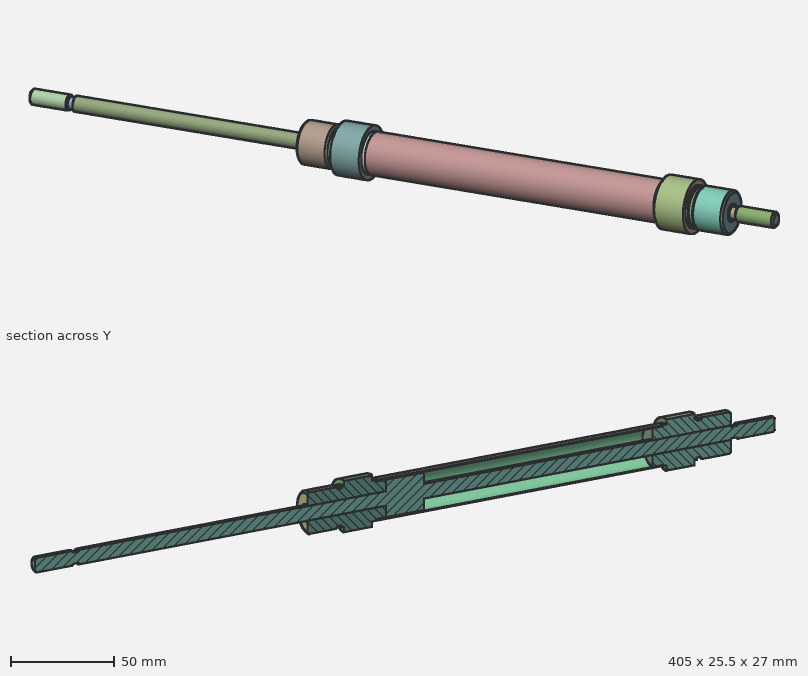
import cadquery as cq

total_length = 405.0
stroke = 125.0

rod_diameter = 8.0
rod_thread_length = 21.0
rod_neck_length = 3.0
rod_neck_diameter = 6.4
rod_tip_chamfer = 1.0
piston_length = 21.0

cap_thread_diameter = 22.0
cap_thread_length = 16.75
cap_thread_chamfer = 1.0
cap_neck_diameter = 19.5
cap_neck_length = 2.0
hub_length = 1.25
collar_diameter = 27.0
collar_length = 15.6
collar_flat_distance = 12.0
lip_length = 1.9
spigot_length = 5.5
bore_mouth_chamfer = 0.5

tube_diameter = 21.5
tube_bore = 20.0

rod_shoulder = rod_thread_length + rod_neck_length
cap_face = rod_shoulder + stroke
cap_thread_end = cap_face + cap_thread_length
hub_start = cap_thread_end + cap_neck_length
collar_start = hub_start + hub_length
collar_end = collar_start + collar_length
tube_start = collar_end + lip_length
spigot_end = tube_start + spigot_length
piston_end = spigot_end + piston_length

rod_middle = total_length / 2
cylinder_middle = (total_length + stroke) / 2
tube_end = 2 * cylinder_middle - tube_start


def revolve_about_x(profile):
    """Solid of revolution about the X axis from (x, radius) corners; the axis closes the outline."""
    first_x = profile[0][0]
    last_x = profile[-1][0]
    outline = [(first_x, 0), *profile, (last_x, 0)]
    return cq.Workplane("XY").polyline(outline).close().revolve(360, (0, 0, 0), (1, 0, 0))


def cylinder(diameter, start, end):
    return revolve_about_x([(start, diameter / 2), (end, diameter / 2)])


def mirror_along_x(body, middle):
    return body.mirror("YZ", (middle, 0, 0))


def make_threaded_end():
    """Front end of the rod: chamfered thread cylinder and the thinner neck behind it."""
    radius = rod_diameter / 2
    neck_radius = rod_neck_diameter / 2
    thread_runout = radius - neck_radius
    return revolve_about_x([
        (0, radius - rod_tip_chamfer),
        (rod_tip_chamfer, radius),
        (rod_thread_length - thread_runout, radius),
        (rod_thread_length, neck_radius),
        (rod_shoulder, neck_radius),
    ])


def make_piston_rod():
    front_end = make_threaded_end()
    rear_end = mirror_along_x(front_end, rod_middle)
    shaft = cylinder(rod_diameter, rod_shoulder, total_length - rod_shoulder)
    piston = cylinder(tube_bore, spigot_end, piston_end)
    return shaft.union(piston).union(front_end).union(rear_end)


def make_collar():
    """Largest ring of a cap, cut flat on its +Y side."""
    ring = cylinder(collar_diameter, collar_start, collar_end)
    keep_width = collar_diameter / 2 + collar_flat_distance
    keep = cq.Workplane("XY").box(collar_length, keep_width, collar_diameter)
    keep = keep.translate((
        (collar_start + collar_end) / 2,
        collar_flat_distance - keep_width / 2,
        0,
    ))
    return ring.intersect(keep)


def make_rod_bore():
    """Rod passage through a cap, widened by a chamfer at the outer face."""
    radius = rod_diameter / 2
    return revolve_about_x([
        (cap_face, radius + bore_mouth_chamfer),
        (cap_face + bore_mouth_chamfer, radius),
        (spigot_end, radius),
    ])


def make_front_cap():
    thread_radius = cap_thread_diameter / 2
    thread_tip_radius = thread_radius - cap_thread_chamfer
    neck_radius = cap_neck_diameter / 2
    hub_radius = tube_diameter / 2
    spigot_radius = tube_bore / 2
    body = revolve_about_x([
        (cap_face, thread_tip_radius),
        (cap_face + cap_thread_chamfer, thread_radius),
        (cap_thread_end - cap_thread_chamfer, thread_radius),
        (cap_thread_end, thread_tip_radius),
        (cap_thread_end, neck_radius),
        (hub_start, neck_radius),
        (hub_start, hub_radius),
        (tube_start, hub_radius),
        (tube_start, spigot_radius),
        (spigot_end, spigot_radius),
    ])
    return body.union(make_collar()).cut(make_rod_bore())


def make_tube():
    outside = cylinder(tube_diameter, tube_start, tube_end)
    return outside.cut(cylinder(tube_bore, tube_start, tube_end))


piston_rod = make_piston_rod()
front_cap = make_front_cap()
rear_cap = mirror_along_x(front_cap, cylinder_middle)
tube = make_tube()

result = cq.Compound.makeCompound([
    piston_rod.val(),
    front_cap.val(),
    tube.val(),
    rear_cap.val(),
])